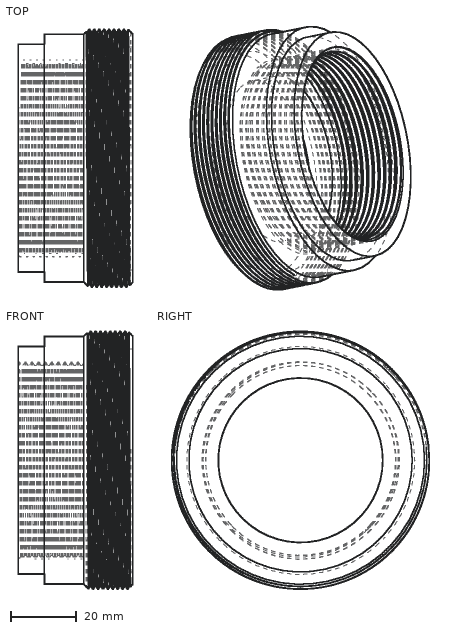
import cadquery as cq
import math

total_length = 35.0
spigot_length = 8.0
outer_land_start = 20.0
bore_shoulder = 22.0
rear_recess_start = 30.0

spigot_radius = 34.7
collar_radius = 37.75
outer_thread_radius = 39.25
through_hole_radius = 25.0
rear_recess_radius = 34.0
inner_thread_root_radius = 30.0

flank_tangent = math.tan(math.radians(30))
outer_pitch = 1.5
inner_pitch = 2.0
outer_groove_start = outer_land_start + 0.6
outer_groove_end = total_length + outer_pitch
inner_groove_start = -0.8
inner_groove_end = bore_shoulder
relief_length = 2.0

groove_clearance = 0.1


def thread_depth(pitch):
    """Depth of an ISO thread: 5/8 of the height of its sharp triangle."""
    sharp_height = pitch / 2 / flank_tangent
    return 5 / 8 * sharp_height


inner_thread_crest_radius = inner_thread_root_radius - thread_depth(inner_pitch)
relief_radius = inner_thread_root_radius + groove_clearance


def revolve_about_x(points):
    """Turn a closed (x, radius) outline about the X axis."""
    return cq.Workplane("XY").polyline(points).close().revolve(360, (0, 0, 0), (1, 0, 0))


def make_body():
    """Stepped outside, with a 45 degree chamfer at each end of the outer thread land."""
    land_chamfer = outer_thread_radius - collar_radius
    return revolve_about_x(
        [
            (0, 0),
            (0, spigot_radius),
            (spigot_length, spigot_radius),
            (spigot_length, collar_radius),
            (outer_land_start, collar_radius),
            (outer_land_start + land_chamfer, outer_thread_radius),
            (total_length - land_chamfer, outer_thread_radius),
            (total_length, collar_radius),
            (total_length, 0),
        ]
    )


def make_bore():
    """Threaded bore with entry chamfer, then a through hole and a rear recess."""
    relief_start = bore_shoulder - relief_length
    chamfer = relief_radius - inner_thread_crest_radius
    return revolve_about_x(
        [
            (0, 0),
            (0, relief_radius),
            (chamfer, inner_thread_crest_radius),
            (relief_start, inner_thread_crest_radius),
            (relief_start, relief_radius),
            (bore_shoulder, relief_radius),
            (bore_shoulder, through_hole_radius),
            (rear_recess_start, through_hole_radius),
            (rear_recess_start, rear_recess_radius),
            (total_length, rear_recess_radius),
            (total_length, 0),
        ]
    )


def helical_groove(start, end, pitch, root_radius, open_radius, root_flat):
    """Right-hand trapezoidal groove about X, narrow at its root and widening to open_radius."""
    half_root = root_flat / 2
    half_open = half_root + abs(open_radius - root_radius) * flank_tangent
    path = cq.Wire.makeHelix(pitch, end - start, root_radius)
    groove = (
        cq.Workplane("XZ")
        .polyline(
            [
                (root_radius, -half_root),
                (root_radius, half_root),
                (open_radius, half_open),
                (open_radius, -half_open),
            ]
        )
        .close()
        .sweep(cq.Workplane(path), isFrenet=True)
    )
    return groove.rotate((0, 0, 0), (0, 1, 0), 90).translate((start, 0, 0))


def make_outer_groove():
    """Groove of the external thread, with a quarter-pitch root flat."""
    return helical_groove(
        outer_groove_start,
        outer_groove_end,
        outer_pitch,
        outer_thread_radius - thread_depth(outer_pitch),
        outer_thread_radius + groove_clearance,
        outer_pitch / 4,
    )


def make_inner_groove():
    """Groove of the internal thread, with an eighth-pitch root flat."""
    return helical_groove(
        inner_groove_start,
        inner_groove_end,
        inner_pitch,
        inner_thread_root_radius,
        inner_thread_crest_radius - groove_clearance,
        inner_pitch / 8,
    )


result = make_body().cut(make_bore()).cut(make_outer_groove()).cut(make_inner_groove())